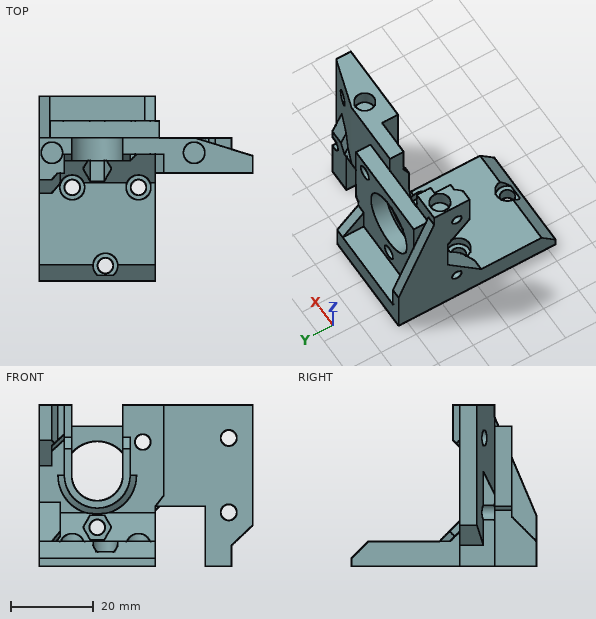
import cadquery as cq
import math


length = 51.6
depth = 44.7
height = 39.0

base_width = 28.05
base_thick = 6.05
lip_height = 2.0
lip_run = base_thick - lip_height
step_start_y = 23.75

wall_front_y = 30.65
wall_back_y = 34.55
step_top_z = base_thick + wall_front_y - step_start_y

gusset_thick = 3.05
gusset_back_z = 12.3
gusset_top_z = 36.05
rib_top_z = 15.5
rib_start_y = wall_front_y - (rib_top_z - base_thick)
rib_width = 5.1
rib_corner_slope = 1.2
rib_corner = (rib_width - gusset_thick) * rib_corner_slope
pin_hole_radius = 1.35
pin_hole_y = 28.1
pin_hole_heights = (9.05, 33.0)

column_front_y = 24.5
column_bottom_z = 30.45
column_width = 6.1
arm_front_y = 26.1
column_corner_x = 4.5
overhang_low_z = column_bottom_z - (wall_front_y - column_front_y)
relief_z = 29.1
relief_rise = 0.93
relief_web_y = 0.95
relief_web_z = 1.3

cradle_x = base_width / 2
cradle_z = 22.05
slot_radius = 6.15
rim_radius = 7.95
rim_thick = 1.55
rim_front_y = wall_front_y - rim_thick
rim_top_z = 31.15
rim_bevel_z = 28.45
skirt_radius = rim_radius + rim_thick

arm_left_x = 30.05
arm_bottom_z = 14.5
arm_corner_z = 17.1
leg_left_x = 40.05
leg_right_x = 46.5
leg_corner_z = 5.1
arm_corner_right_z = 9.95
taper_start_x = 37.65
taper_end_y = 30.3
foot_slope = 2.0
foot_step_x = 40.9
foot_step_run = 1.6
foot_step_rise = 2.95
arm_hole_radius = 1.9
arm_hole_x = 45.75
arm_hole_heights = (13.05, 31.0)

rod_radius = 2.6
rod_y = 31.0
rod_depth = 4.0
rod_positions_x = (3.1, 37.4)

plate_left_x = 2.7
plate_right_x = 29.05
plate_back_y = 38.7
plate_top_z = 33.9
plate_bore_radius = 8.15
side_wall = 2.6

screw_radius = 1.85
counterbore_radius = 3.0
counterbore_floor_z = 3.5
base_screws = ((8.0, 22.65), (24.0, 22.65), (16.0, 3.75))
wall_screw_x = 25.05
wall_screw_z = 30.05
nut_z = 9.45
nut_flats = 5.95
nut_floor_y = 32.6


def sweep(points, direction):
    """Solid swept straight from a flat polygon along a direction, square to it or not."""
    corners = [cq.Vector(*p) for p in points]
    outline = cq.Wire.makePolygon(corners + corners[:1])
    return cq.Workplane(obj=cq.Solid.extrudeLinear(outline, [], cq.Vector(*direction)))


def along_x(yz_points, x_start, x_end):
    return sweep([(x_start, y, z) for y, z in yz_points], (x_end - x_start, 0, 0))


def along_y(xz_points, y_start, y_end):
    return sweep([(x, y_start, z) for x, z in xz_points], (0, y_end - y_start, 0))


def along_z(xy_points, z_start, z_end):
    return sweep([(x, y, z_start) for x, y in xy_points], (0, 0, z_end - z_start))


def box(x_range, y_range, z_range):
    (x0, x1), (y0, y1) = x_range, y_range
    return along_z([(x0, y0), (x1, y0), (x1, y1), (x0, y1)], *z_range)


def cylinder(radius, start, end):
    axis = cq.Vector(*end) - cq.Vector(*start)
    solid = cq.Solid.makeCylinder(radius, axis.Length, cq.Vector(*start), axis)
    return cq.Workplane(obj=solid)


def make_base():
    """Floor with bevelled lip and 45 degree slopes up to the wall, front and back."""
    back_slope_top_z = base_thick + depth - wall_back_y
    return along_x(
        [
            (0, 0),
            (0, lip_height),
            (lip_run, base_thick),
            (step_start_y, base_thick),
            (wall_front_y, step_top_z),
            (wall_back_y, back_slope_top_z),
            (depth, base_thick),
            (depth, 0),
        ],
        0,
        base_width,
    )


def make_gusset():
    """Left side wall, with the front column leaning out above the cradle."""
    return along_x(
        [
            (rib_start_y, 0),
            (rib_start_y, base_thick),
            (wall_front_y, rib_top_z),
            (wall_front_y, overhang_low_z),
            (column_front_y, column_bottom_z),
            (column_front_y, height),
            (wall_back_y, height),
            (wall_back_y, gusset_top_z),
            (depth, gusset_back_z),
            (depth, 0),
        ],
        0,
        gusset_thick,
    )


def make_rib():
    """Wider slab along the gusset slope; its front corner is cut square to the slope."""
    rib = along_x(
        [(rib_start_y, base_thick), (wall_front_y, rib_top_z), (wall_front_y, base_thick)],
        0,
        rib_width,
    )
    corner = [
        (gusset_thick, rib_start_y, base_thick),
        (rib_width, rib_start_y, base_thick),
        (rib_width, rib_start_y + rib_corner, base_thick + rib_corner),
    ]
    return rib.cut(sweep(corner, (0, rib_width, -rib_width)))


def make_column():
    """Inner part of the column, relieved below by a cut that rises towards the cradle."""
    column = along_z(
        [
            (0, wall_front_y),
            (0, column_front_y),
            (gusset_thick, column_front_y),
            (column_corner_x, arm_front_y),
            (column_width, arm_front_y),
            (column_width, wall_front_y),
        ],
        overhang_low_z,
        height,
    )
    overhang = along_x(
        [
            (column_front_y, overhang_low_z),
            (column_front_y, column_bottom_z),
            (wall_front_y, overhang_low_z),
        ],
        0,
        column_width,
    )
    relief_outline = [
        (column_front_y, overhang_low_z - column_width),
        (column_front_y, relief_z),
        (wall_front_y - relief_web_y, relief_z),
        (wall_front_y, relief_z - relief_web_z),
        (wall_front_y, overhang_low_z - column_width),
    ]
    relief_width = column_width - gusset_thick
    relief = sweep(
        [(gusset_thick, y, z) for y, z in relief_outline],
        (relief_width, 0, relief_width * relief_rise),
    )
    return column.cut(overhang).cut(relief)


def make_wall():
    return along_y(
        [
            (0, 0),
            (base_width, 0),
            (base_width, arm_bottom_z),
            (arm_left_x, arm_bottom_z),
            (arm_left_x, height),
            (0, height),
        ],
        wall_front_y,
        wall_back_y,
    )


def make_taper():
    """Wedge removed behind the arm, down to a stepped slope that keeps the leg full."""
    wedge = along_z(
        [(taper_start_x, wall_back_y), (length, taper_end_y), (length, wall_back_y)],
        0,
        height,
    )
    taper_depth = wall_back_y - taper_end_y
    foot_outline = [
        (wall_back_y, 0),
        (wall_back_y, arm_bottom_z),
        (taper_end_y, arm_bottom_z + foot_slope * taper_depth),
        (taper_end_y, 0),
    ]
    foot = along_x(foot_outline, taper_start_x, leg_right_x)
    ramp = sweep(
        [(foot_step_x, y, z) for y, z in foot_outline],
        (foot_step_run, 0, foot_step_rise),
    )
    raised_outline = [(y, z + foot_step_rise) for y, z in foot_outline]
    raised = along_x(raised_outline, foot_step_x + foot_step_run, leg_right_x)
    return wedge.cut(foot).cut(ramp).cut(raised)


def make_arm():
    arm = along_y(
        [
            (base_width, arm_bottom_z),
            (arm_left_x, arm_corner_z),
            (arm_left_x, height),
            (length, height),
            (length, arm_corner_right_z),
            (leg_right_x, leg_corner_z),
            (leg_right_x, 0),
            (leg_left_x, 0),
            (leg_left_x, arm_bottom_z),
        ],
        arm_front_y,
        wall_back_y,
    )
    return arm.cut(make_taper())


def make_cradle():
    """U-shaped rim with bevelled tops, and a half-cone skirt around its lower half."""
    rim_x = (cradle_x - rim_radius, cradle_x + rim_radius)
    arms = along_x(
        [
            (wall_front_y, cradle_z),
            (rim_front_y, cradle_z),
            (rim_front_y, rim_bevel_z),
            (wall_front_y, rim_top_z),
        ],
        *rim_x,
    )
    front = cq.Vector(cradle_x, rim_front_y, cradle_z)
    skirt = cq.Workplane(
        obj=cq.Solid.makeCone(rim_radius, skirt_radius, rim_thick, front, cq.Vector(0, 1, 0))
    )
    upper_half = box(
        (cradle_x - skirt_radius, cradle_x + skirt_radius),
        (rim_front_y, wall_front_y),
        (cradle_z, cradle_z + skirt_radius),
    )
    return arms.union(skirt.cut(upper_half))


def make_slot():
    """Round-bottomed slot through the cradle and the wall, open at the top."""
    bottom = cylinder(
        slot_radius,
        (cradle_x, rim_front_y, cradle_z),
        (cradle_x, wall_back_y, cradle_z),
    )
    opening = box(
        (cradle_x - slot_radius, cradle_x + slot_radius),
        (rim_front_y, wall_back_y),
        (cradle_z, height),
    )
    return bottom.union(opening)


def make_pocket():
    """Space behind the wall, between the two side walls."""
    return box((side_wall, base_width - side_wall), (wall_back_y, depth), (base_thick, height))


def make_plate():
    plate = along_y(
        [
            (plate_left_x, base_thick),
            (base_width, base_thick),
            (base_width, arm_bottom_z - (plate_right_x - base_width)),
            (plate_right_x, arm_bottom_z),
            (plate_right_x, plate_top_z),
            (plate_left_x, plate_top_z),
        ],
        wall_back_y,
        plate_back_y,
    )
    bore = cylinder(
        plate_bore_radius,
        (cradle_x, wall_back_y, cradle_z),
        (cradle_x, plate_back_y, cradle_z),
    )
    return plate.cut(bore)


def make_holes():
    holes = []
    for x, y in base_screws:
        holes.append(cylinder(screw_radius, (x, y, 0), (x, y, counterbore_floor_z)))
        holes.append(cylinder(counterbore_radius, (x, y, counterbore_floor_z), (x, y, step_top_z)))
    for x in rod_positions_x:
        holes.append(cylinder(rod_radius, (x, rod_y, height - rod_depth), (x, rod_y, height)))
    for z in pin_hole_heights:
        holes.append(cylinder(pin_hole_radius, (0, pin_hole_y, z), (gusset_thick, pin_hole_y, z)))
    for z in arm_hole_heights:
        holes.append(cylinder(arm_hole_radius, (arm_hole_x, 0, z), (arm_hole_x, depth, z)))
    for x, z in ((wall_screw_x, wall_screw_z), (cradle_x, nut_z)):
        holes.append(cylinder(screw_radius, (x, 0, z), (x, depth, z)))
    nut_radius = nut_flats / math.sqrt(3)
    nut_corners = [
        (cradle_x + nut_radius * math.cos(a), nut_z + nut_radius * math.sin(a))
        for a in (math.radians(60 * i) for i in range(6))
    ]
    holes.append(along_y(nut_corners, step_start_y, nut_floor_y))
    return holes


result = make_base().union(make_gusset()).union(make_wall())
result = result.cut(make_pocket()).union(make_plate())
for feature in (make_rib(), make_column(), make_arm(), make_cradle()):
    result = result.union(feature)
result = result.cut(make_slot())
for hole in make_holes():
    result = result.cut(hole)